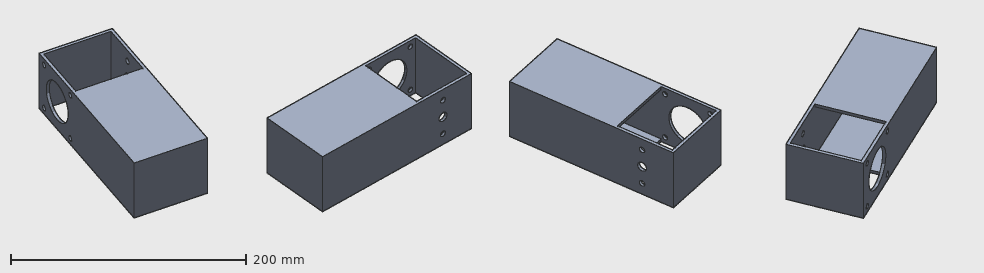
import cadquery as cq

length = 170.0
width = 71.0
height = 60.0
wall = 3.0

opening_end_x = 60.0

side_center_x = 32.5
side_center_z = height / 2

window_diameter = 39.0
front_screw_diameter = 5.0
front_screw_pitch = 47.0

shaft_diameter = 9.0
back_screw_diameter = 5.5
back_screw_pitch = 36.5


def block(x_start, x_end, y_start, y_end, z_start, z_end):
    """Box given by its limits along each axis."""
    size = (x_end - x_start, y_end - y_start, z_end - z_start)
    return cq.Workplane("XY").box(*size, centered=False).translate((x_start, y_start, z_start))


def wall_holes(outer_y, diameter, offsets):
    """Cylinders one wall thick, running +Y from outer_y, at (x, z) offsets from the side centre."""
    return (
        cq.Workplane("XZ", origin=(side_center_x, outer_y, side_center_z))
        .pushPoints(offsets)
        .circle(diameter / 2)
        .extrude(-wall)
    )


def hollow_box():
    """Closed box with a cavity and an opening passing through the top and the floor."""
    outer = block(0, length, 0, width, 0, height)
    cavity = block(wall, length - wall, wall, width - wall, wall, height - wall)
    opening = block(wall, opening_end_x, wall, width - wall, 0, height)
    return outer.cut(cavity).cut(opening)


def cut_front_wall(body):
    """Round window and its square pattern of screw holes."""
    reach = front_screw_pitch / 2
    corners = [(x, z) for x in (-reach, reach) for z in (-reach, reach)]
    body = body.cut(wall_holes(0, window_diameter, [(0, 0)]))
    return body.cut(wall_holes(0, front_screw_diameter, corners))


def cut_back_wall(body):
    """Shaft hole and its pair of screw holes."""
    inner_y = width - wall
    reach = back_screw_pitch / 2
    body = body.cut(wall_holes(inner_y, shaft_diameter, [(0, 0)]))
    return body.cut(wall_holes(inner_y, back_screw_diameter, [(0, -reach), (0, reach)]))


result = cut_back_wall(cut_front_wall(hollow_box()))